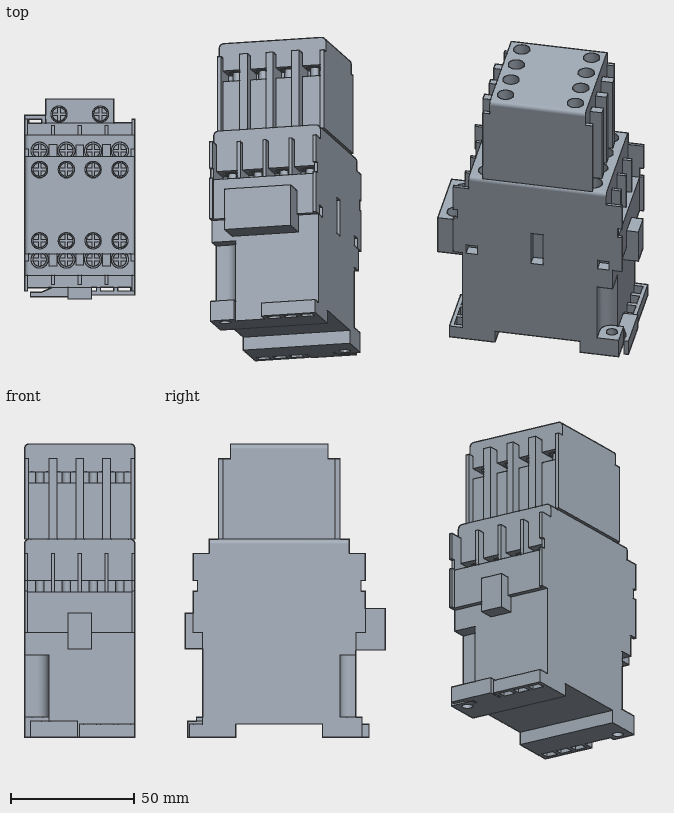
import cadquery as cq


WIDTH = 44.8
HALF_WIDTH = WIDTH / 2
TOP_EDGE_RADIUS = 2.0
FRONT, BACK = -1, 1

BASE_HALF_DEPTH = 31.1
LEDGE_HALF_DEPTH = 33.3
MAIN_HALF_DEPTH = 28.45
MAIN_TOP = 80.4
LEDGE_BOTTOM = 42.5
LEDGE_TOP = 59.0

MAIN_WING_HALF_DEPTH = 34.9
MAIN_WING_THICKNESS = 1.25
MAIN_WING_TOP = 74.6
WING_NOTCH_DEPTH = 1.7
WING_NOTCH_BOTTOM, WING_NOTCH_TOP = 59.3, 63.5

MAIN_BARRIER_HALF_DEPTH = 32.2
MAIN_BARRIER_WIDTH = 1.35

AUX_HALF_DEPTH = 19.8
AUX_TOP = 119.0
AUX_STEP = 103.1
AUX_WING_TOP = 113.0
AUX_WING_HALF_DEPTH = 22.7
AUX_WING_THICKNESS = 1.6
AUX_BARRIER_HALF_DEPTH = 24.65
AUX_MIDDLE_BARRIER_HALF_DEPTH = 24.3
AUX_BARRIER_WIDTH = 3.35
AUX_MIDDLE_BARRIER_WIDTH = 2.9

POLE_PITCH = 10.85
POLE_XS = [POLE_PITCH * (index - 1.5) for index in range(4)]
BARRIER_XS = [POLE_PITCH * (index - 1) for index in range(3)]
MAIN_SCREW_Y = 22.05
AUX_SCREW_Y = 14.45
OPENING_HEIGHT = 4.5
OPENING_PAST_SCREW = 3.5
MAIN_HOLE_DIAMETER = 7.0
AUX_HOLE_DIAMETER = 6.6
SCREW_HEAD_DIAMETER = 5.5
SCREW_HEAD_HEIGHT = 2.5
SCREW_SHANK_DIAMETER = 3.5
CROSS_LENGTH = SCREW_HEAD_DIAMETER
CROSS_WIDTH = 1.1
CROSS_DEPTH = 1.0

COIL_HALF_WIDTH = 13.85
COIL_BACK = 43.05
COIL_BOTTOM = 35.4
COIL_TOP = 52.3
COIL_SCREW_X = 8.4
COIL_SCREW_Y = 36.9
COIL_HOLE_DIAMETER = 6.6
COIL_HOLE_DEPTH = 10.0

BUTTON_HALF_WIDTH = 4.8
BUTTON_FRONT = -38.15
BUTTON_BOTTOM = 35.9
BUTTON_TOP = 50.4

RAIL_HALF_WIDTH = 17.55
FOOT_HEIGHT = 5.4
CORNER_WIDTH = 9.9
CORNER_HALF_DEPTH = 33.6
CORNER_TOP = 8.2
RECESS_TOP = 33.4
RECESS_HALF_DEPTH = 24.7
RECESS_RADIUS = 4.6
MOUNTING_HOLE_DIAMETER = 4.5
MOUNTING_HOLE_Y = -29.7

BAR_OUTER = 36.45
BAR_INNER = 34.8
BAR_START = 0.2
BAR_RIB_WIDTH = 1.75
BAR_RIB_PITCH = 6.95
BAR_RIB_COUNT = 4

LATCH_LEFT = -20.0
LATCH_RIGHT = -1.0
LATCH_FRONT = -37.15
LATCH_THICKNESS = 1.9
LATCH_HEIGHT = 6.6
LATCH_SLOPE_START = -15.5
LATCH_SLOPE_END = -11.6

SIDE_POCKET_DEPTH = 4.5
SLOT_Y = 0.2
SLOT_WIDTH = 5.1
SLOT_BOTTOM, SLOT_TOP = 41.2, 56.1
WINDOW_Y = 27.2
WINDOW_WIDTH = 4.7
WINDOW_BOTTOM, WINDOW_TOP = 42.5, 46.6


def block(x_range, y_range, z_range):
    """Axis-aligned box between the two limits given for each axis, in either order."""
    ranges = [sorted(limits) for limits in (x_range, y_range, z_range)]
    sizes = [high - low for low, high in ranges]
    corner = tuple(low for low, high in ranges)
    return cq.Workplane("XY").box(*sizes, centered=False).translate(corner)


def around(centre, width):
    """Limits of a span of the given width about its centre."""
    return (centre - width / 2, centre + width / 2)


def upright_cylinder(x, y, diameter, bottom, top):
    return cq.Workplane("XY", origin=(x, y, bottom)).circle(diameter / 2).extrude(top - bottom)


def half_turn(shape):
    """The same shape turned to the opposite corner of the part."""
    return shape.rotate((0, 0, 0), (0, 0, 1), 180)


def rounded_housing(half_depth, bottom, top):
    """Full-width box whose two long top edges are rounded."""
    depth_range = (-half_depth, half_depth)
    housing = block((-HALF_WIDTH, HALF_WIDTH), depth_range, (bottom, top))
    return housing.faces(">Z").edges("|Y").fillet(TOP_EDGE_RADIUS)


def side_wings(half_depth, thickness, bottom, top):
    """Thin walls flush with both sides of the part."""
    depth_range = (-half_depth, half_depth)
    left = block((-HALF_WIDTH, thickness - HALF_WIDTH), depth_range, (bottom, top))
    return left.union(half_turn(left))


def pole_limits(pole, wing_thickness, widths):
    """X limits of a terminal opening, from the barrier or wing on its left to that on its right."""
    inside = HALF_WIDTH - wing_thickness
    lefts = [-inside] + [x + width / 2 for x, width in zip(BARRIER_XS, widths)]
    rights = [x - width / 2 for x, width in zip(BARRIER_XS, widths)] + [inside]
    return (lefts[pole], rights[pole])


def screw_head(x, y, bottom):
    """Screw head with a cross slot in its top."""
    top = bottom + SCREW_HEAD_HEIGHT
    head = upright_cylinder(x, y, SCREW_HEAD_DIAMETER, bottom, top)
    slot_z = (top - CROSS_DEPTH, top)
    head = head.cut(block(around(x, CROSS_LENGTH), around(y, CROSS_WIDTH), slot_z))
    return head.cut(block(around(x, CROSS_WIDTH), around(y, CROSS_LENGTH), slot_z))


def add_terminals(body, screw_y, hole_diameter, face_y, floor, hole_top, wing_thickness, widths):
    """Cut the wire openings and screw holes of both terminal rows, then set a screw in each."""
    roof = floor + OPENING_HEIGHT
    for side in (FRONT, BACK):
        for pole, x in enumerate(POLE_XS):
            y = side * screw_y
            opening_y = (side * face_y, side * (screw_y - OPENING_PAST_SCREW))
            opening_x = pole_limits(pole, wing_thickness, widths)
            body = body.cut(block(opening_x, opening_y, (floor, roof)))
            body = body.cut(upright_cylinder(x, y, hole_diameter, roof, hole_top))
            body = body.union(upright_cylinder(x, y, SCREW_SHANK_DIAMETER, floor, roof))
            body = body.union(screw_head(x, y, roof))
    return body


def add_barriers(body, widths, face_y, half_depths, bottom, top):
    """Upright walls between neighbouring terminals, on both faces."""
    for side in (FRONT, BACK):
        for x, width, half_depth in zip(BARRIER_XS, widths, half_depths):
            depth_range = (side * face_y, side * half_depth)
            body = body.union(block(around(x, width), depth_range, (bottom, top)))
    return body


def main_body():
    full_width = (-HALF_WIDTH, HALF_WIDTH)
    base_depth = (-BASE_HALF_DEPTH, BASE_HALF_DEPTH)
    ledge_depth = (-LEDGE_HALF_DEPTH, LEDGE_HALF_DEPTH)
    body = rounded_housing(MAIN_HALF_DEPTH, LEDGE_TOP, MAIN_TOP)
    body = body.union(block(full_width, base_depth, (0, LEDGE_BOTTOM)))
    body = body.union(block(full_width, ledge_depth, (LEDGE_BOTTOM, LEDGE_TOP)))

    wings = side_wings(MAIN_WING_HALF_DEPTH, MAIN_WING_THICKNESS, LEDGE_BOTTOM, MAIN_WING_TOP)
    notch_inner = MAIN_WING_HALF_DEPTH - WING_NOTCH_DEPTH
    notch_height = (WING_NOTCH_BOTTOM, WING_NOTCH_TOP)
    for side in (FRONT, BACK):
        notch_depth = (side * notch_inner, side * MAIN_WING_HALF_DEPTH)
        wings = wings.cut(block(full_width, notch_depth, notch_height))
    body = body.union(wings)

    widths = [MAIN_BARRIER_WIDTH] * len(BARRIER_XS)
    half_depths = [MAIN_BARRIER_HALF_DEPTH] * len(BARRIER_XS)
    body = add_barriers(body, widths, MAIN_HALF_DEPTH, half_depths, LEDGE_TOP, MAIN_WING_TOP)
    return add_terminals(
        body,
        MAIN_SCREW_Y,
        MAIN_HOLE_DIAMETER,
        MAIN_HALF_DEPTH,
        LEDGE_TOP,
        MAIN_TOP,
        MAIN_WING_THICKNESS,
        widths,
    )


def auxiliary_block():
    body = rounded_housing(AUX_HALF_DEPTH, MAIN_TOP, AUX_TOP)
    body = body.union(side_wings(AUX_WING_HALF_DEPTH, AUX_WING_THICKNESS, MAIN_TOP, AUX_WING_TOP))
    widths = [AUX_BARRIER_WIDTH, AUX_MIDDLE_BARRIER_WIDTH, AUX_BARRIER_WIDTH]
    half_depths = [AUX_BARRIER_HALF_DEPTH, AUX_MIDDLE_BARRIER_HALF_DEPTH, AUX_BARRIER_HALF_DEPTH]
    body = add_barriers(body, widths, AUX_HALF_DEPTH, half_depths, MAIN_TOP, AUX_WING_TOP)
    return add_terminals(
        body,
        AUX_SCREW_Y,
        AUX_HOLE_DIAMETER,
        AUX_HALF_DEPTH,
        AUX_STEP,
        AUX_TOP,
        AUX_WING_THICKNESS,
        widths,
    )


def coil_terminal():
    width_range = (-COIL_HALF_WIDTH, COIL_HALF_WIDTH)
    terminal = block(width_range, (BASE_HALF_DEPTH, COIL_BACK), (COIL_BOTTOM, COIL_TOP))
    floor = COIL_TOP - COIL_HOLE_DEPTH
    for x in (-COIL_SCREW_X, COIL_SCREW_X):
        hole = upright_cylinder(x, COIL_SCREW_Y, COIL_HOLE_DIAMETER, floor, COIL_TOP)
        terminal = terminal.cut(hole).union(screw_head(x, COIL_SCREW_Y, floor))
    return terminal


def button():
    width_range = (-BUTTON_HALF_WIDTH, BUTTON_HALF_WIDTH)
    return block(width_range, (BUTTON_FRONT, -BASE_HALF_DEPTH), (BUTTON_BOTTOM, BUTTON_TOP))


def corner_foot():
    """Mounting pad at the front left corner."""
    width_range = (-HALF_WIDTH, CORNER_WIDTH - HALF_WIDTH)
    return block(width_range, (-CORNER_HALF_DEPTH, -RECESS_HALF_DEPTH), (0, CORNER_TOP))


def corner_recess():
    """Screwdriver recess above the front left pad, with its inner corner rounded, and the pad's hole."""
    right = CORNER_WIDTH - HALF_WIDTH
    inner, outer = -RECESS_HALF_DEPTH, -BASE_HALF_DEPTH
    recess = block((-HALF_WIDTH, right), (outer, inner), (CORNER_TOP, RECESS_TOP))
    recess = recess.edges("|Z and >X and >Y").fillet(RECESS_RADIUS)
    hole_x = right - RECESS_RADIUS
    return recess.union(upright_cylinder(hole_x, MOUNTING_HOLE_Y, MOUNTING_HOLE_DIAMETER, 0, CORNER_TOP))


def foot_bar():
    """Bar along the right half of the front foot, with the ribs that carry it."""
    bar = block((-BAR_START, HALF_WIDTH), (-BAR_OUTER, -BAR_INNER), (0, FOOT_HEIGHT))
    for index in range(BAR_RIB_COUNT):
        right = HALF_WIDTH - index * BAR_RIB_PITCH
        rib_depth = (-BAR_INNER, -BASE_HALF_DEPTH)
        bar = bar.union(block((right - BAR_RIB_WIDTH, right), rib_depth, (0, FOOT_HEIGHT)))
    return bar


def latch():
    """Rail latch: a thin tongue on the left that slopes back into a root on the housing."""
    tongue_back = LATCH_FRONT + LATCH_THICKNESS
    outline = [
        (LATCH_LEFT, LATCH_FRONT),
        (LATCH_RIGHT, LATCH_FRONT),
        (LATCH_RIGHT, -BASE_HALF_DEPTH),
        (LATCH_SLOPE_END, -BASE_HALF_DEPTH),
        (LATCH_SLOPE_END, -CORNER_HALF_DEPTH),
        (LATCH_SLOPE_START, tongue_back),
        (LATCH_LEFT, tongue_back),
    ]
    return cq.Workplane("XY").polyline(outline).close().extrude(LATCH_HEIGHT)


def rail_channel():
    rail_depth = (-RAIL_HALF_WIDTH, RAIL_HALF_WIDTH)
    return block((-HALF_WIDTH, HALF_WIDTH), rail_depth, (0, FOOT_HEIGHT))


def side_openings():
    """Central slot and two small windows in the -X wall."""
    depth_range = (-HALF_WIDTH, SIDE_POCKET_DEPTH - HALF_WIDTH)
    openings = block(depth_range, around(SLOT_Y, SLOT_WIDTH), (SLOT_BOTTOM, SLOT_TOP))
    for y in (-WINDOW_Y, WINDOW_Y):
        window = block(depth_range, around(y, WINDOW_WIDTH), (WINDOW_BOTTOM, WINDOW_TOP))
        openings = openings.union(window)
    return openings


result = main_body().union(auxiliary_block())
result = result.union(coil_terminal()).union(button())
result = result.union(corner_foot()).union(half_turn(corner_foot()))
result = result.cut(corner_recess()).cut(half_turn(corner_recess()))
result = result.union(foot_bar()).union(half_turn(foot_bar()))
result = result.union(latch())
result = result.cut(rail_channel()).cut(side_openings())